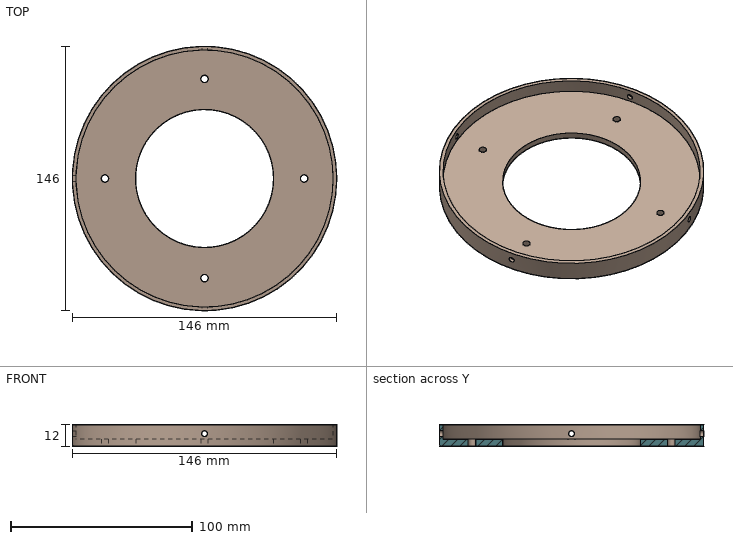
import cadquery as cq

outer_diameter = 146.0
height = 12.0
wall_thickness = 2.0
floor_thickness = 4.0
bore_diameter = 76.0
floor_hole_diameter = 4.0
floor_hole_circle_diameter = 110.0
rim_hole_diameter = 3.0
rim_hole_depth_below_rim = 5.0

outer_radius = outer_diameter / 2
inner_radius = outer_radius - wall_thickness
rim_hole_height = height - rim_hole_depth_below_rim


def make_tray():
    """Shallow round tray, open at the top, with a large central bore."""
    body = cq.Workplane("XY").circle(outer_radius).extrude(height)
    recess = (
        cq.Workplane("XY")
        .workplane(offset=floor_thickness)
        .circle(inner_radius)
        .extrude(height - floor_thickness)
    )
    bore = cq.Workplane("XY").circle(bore_diameter / 2).extrude(height)
    return body.cut(recess).cut(bore)


def make_floor_holes():
    """Four vertical holes through the floor, on the X and Y axes."""
    return (
        cq.Workplane("XY")
        .polarArray(floor_hole_circle_diameter / 2, 0, 360, 4)
        .circle(floor_hole_diameter / 2)
        .extrude(floor_thickness)
    )


def make_rim_holes(plane):
    """A drill spanning the tray, piercing both opposite sides of the rim."""
    return (
        cq.Workplane(plane)
        .center(0, rim_hole_height)
        .circle(rim_hole_diameter / 2)
        .extrude(outer_radius, both=True)
    )


result = make_tray().cut(make_floor_holes())
for drill_plane in ("XZ", "YZ"):
    result = result.cut(make_rim_holes(drill_plane))